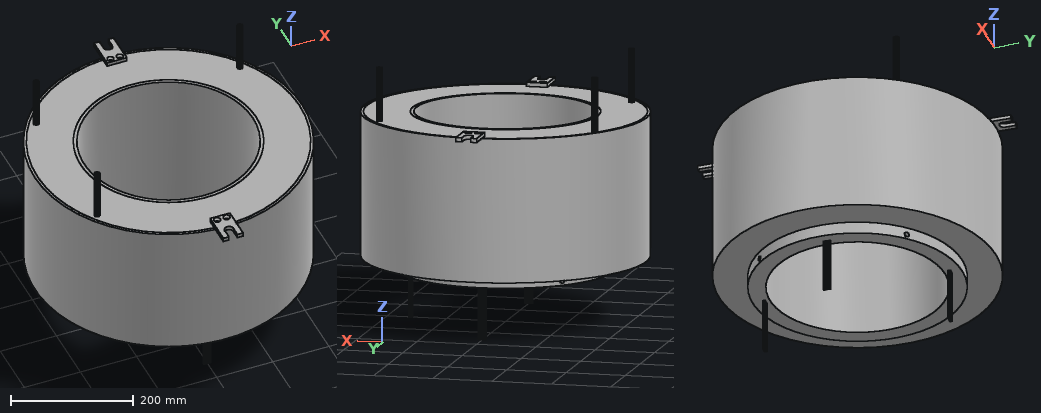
import cadquery as cq

housing_diameter = 476.0
housing_height = 240.5
outer_wall = 5.0
bore_diameter = 300.0
inner_wall = 6.0
fill_recess = 0.25

flange_diameter = 359.5
flange_height = 20.5
flange_hole_diameter = 8.0
flange_hole_depth = 11.0
flange_hole_drop = 12.5

bracket_span = 540.0
bracket_width = 35.0
bracket_length = 55.0
bracket_thickness = 6.5
slot_width = 15.0
slot_depth = 25.0
screw_spacing = 17.0
screw_inset = 7.5
screw_hole_diameter = 4.0
countersink_diameter = 11.5
countersink_angle = 90

upper_lead_length = 88.5
lower_lead_length = 89.5
wire_diameter = 2.0
upper_lead_x = 181.5
upper_lead_y = 127.0
round_bundle_wires = 8
round_bundle_radius = 4.0
lower_lead_radius = 160.0
flat_bundle_rows = 2
flat_bundle_columns = 4
flat_bundle_row_pitch = 2.25
flat_bundle_column_pitch = 3.4

housing_radius = housing_diameter / 2
bore_radius = bore_diameter / 2
fill_top = housing_height - fill_recess


def ring(outer_radius, inner_radius, bottom, height):
    return cq.Workplane("XY").workplane(offset=bottom).circle(outer_radius).circle(inner_radius).extrude(height)


def flange_hole(angle):
    start_radius = flange_diameter / 2 - flange_hole_depth
    return (
        cq.Workplane("YZ", origin=(start_radius, 0, -flange_hole_drop))
        .circle(flange_hole_diameter / 2)
        .extrude(2 * flange_hole_depth)
        .rotate((0, 0, 0), (0, 0, 1), angle)
    )


def bracket():
    tip = bracket_span / 2
    inner_end = tip - bracket_length
    slot_radius = slot_width / 2
    slot_center = tip - slot_depth + slot_radius
    base_plane = cq.Workplane("XY").workplane(offset=fill_top)
    height = bracket_thickness + fill_recess
    plate = (
        base_plane.center(0, tip - bracket_length / 2)
        .rect(bracket_width, bracket_length)
        .extrude(height)
    )
    slot = (
        base_plane.moveTo(-slot_radius, tip)
        .lineTo(-slot_radius, slot_center)
        .threePointArc((0, slot_center - slot_radius), (slot_radius, slot_center))
        .lineTo(slot_radius, tip)
        .close()
        .extrude(height)
    )
    return (
        plate.cut(slot)
        .faces(">Z")
        .workplane(origin=(0, inner_end + screw_inset, 0))
        .pushPoints([(-screw_spacing / 2, 0), (screw_spacing / 2, 0)])
        .cskHole(screw_hole_diameter, countersink_diameter, countersink_angle)
    )


def round_bundle(x, y):
    return (
        cq.Workplane("XY")
        .workplane(offset=fill_top)
        .center(x, y)
        .polarArray(round_bundle_radius, 180 / round_bundle_wires, 360, round_bundle_wires)
        .circle(wire_diameter / 2)
        .extrude(upper_lead_length + fill_recess)
    )


def flat_bundle(angle):
    return (
        cq.Workplane("XY")
        .workplane(offset=-flange_height)
        .center(lower_lead_radius, 0)
        .rarray(flat_bundle_row_pitch, flat_bundle_column_pitch, flat_bundle_rows, flat_bundle_columns)
        .circle(wire_diameter / 2)
        .extrude(-lower_lead_length)
        .rotate((0, 0, 0), (0, 0, 1), angle)
    )


result = ring(housing_radius, bore_radius, 0, housing_height)
result = result.cut(ring(housing_radius - outer_wall, bore_radius + inner_wall, fill_top, fill_recess))
result = result.union(ring(flange_diameter / 2, bore_radius, -flange_height, flange_height))

for hole_angle in (45, 135, 225, 315):
    result = result.cut(flange_hole(hole_angle))

for turn in (0, 180):
    result = result.union(bracket().rotate((0, 0, 0), (0, 0, 1), turn))

for side_x, side_y in ((-1, 1), (1, 1), (-1, -1)):
    result = result.union(round_bundle(side_x * upper_lead_x, side_y * upper_lead_y))

for lead_angle in (-90, 0, 90):
    result = result.union(flat_bundle(lead_angle))